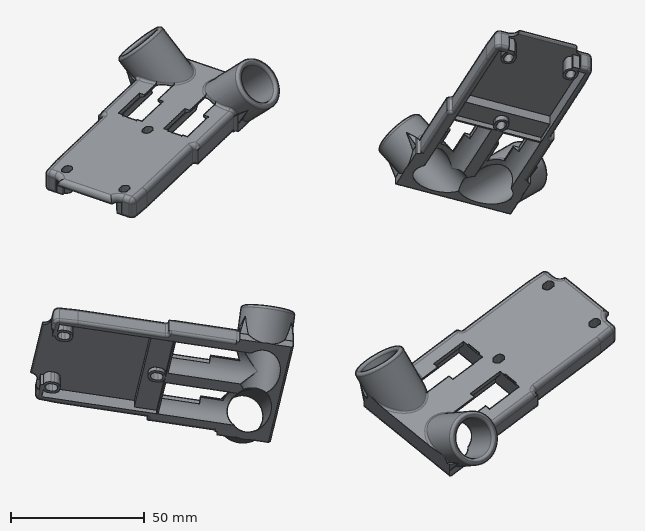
import cadquery as cq
import math

back_y = 46.6
front_y = -46.6
plate_height = 8.8
roof_underside = 6.1
top_round = 2.05
bottom_round = 1.1
back_chamfer = 0.7
lip_underside_round = 0.5

wide_half = 21.6
narrow_half = 19.9
front_corner_half = 19.5
step_y = -0.5
step_corner_radius = 0.9
taper_start_y = -34.6
leg_front_y = -43.65
leg_corner_radius = 2.05
scallop_radius = leg_front_y - front_y
lip_half = 11.75

tube_slant = 45.0
tube_radius = 10.2
bore_radius = 7.65
tube_length = 24.25
rim_round = 1.2
tube_y = back_y - tube_radius
tube_front_y = back_y - 2 * tube_radius
tube_blend = 1.0

back_overrun = 7.5

margin = 0.1

channel_x = 9.9
channel_z = 0.9
channel_start_y = 2.9

slant = math.radians(tube_slant)
tube_foot_x = channel_x - channel_z * math.tan(slant)
tube_axis = cq.Vector(math.sin(slant), 0, math.cos(slant))

gusset_foot_half = 23.1
gusset_foot_height = 3.7
gusset_top_half = 26.5
gusset_height = 10.1
gusset_taper = 1.3
gusset_root_radius = 0.9

slot_wide = 10.3
slot_narrow = 6.0
slot_neck_y = 18.2
notch_length = 0.6
notch_depth = 0.5

side_wall = 2.3
pocket_front_y = -41.3
pocket_back_y = -6.2
recess_back_y = 2.3
recess_height = 2.1
front_opening_half = 11.75
lip_relief_half = 14.4
lip_relief_depth = 0.7

hole_width = 3.4
hole_length = 4.8
post_wall = 0.9
front_hole_x = 12.5
front_hole_y = -38.6
middle_hole_y = -0.9


def box(x_min, x_max, y_min, y_max, z_min, z_max):
    size = (x_max - x_min, y_max - y_min, z_max - z_min)
    return cq.Workplane("XY").box(*size, centered=False).translate((x_min, y_min, z_min))


def both_sides(shape):
    return shape.union(shape.mirror("YZ"))


def plate_body():
    """Plate with a rounded top edge, running past the back by the overrun."""
    diagonal = math.sqrt(0.5)
    scallop_x = lip_half + scallop_radius
    end_y = back_y + back_overrun
    half = (
        cq.Workplane("XY")
        .moveTo(0, end_y)
        .lineTo(wide_half, end_y)
        .lineTo(wide_half, step_y)
        .lineTo(narrow_half + step_corner_radius, step_y)
        .radiusArc((narrow_half, step_y - step_corner_radius), -step_corner_radius)
        .lineTo(narrow_half, taper_start_y)
        .lineTo(front_corner_half, leg_front_y + leg_corner_radius)
        .radiusArc((front_corner_half - leg_corner_radius, leg_front_y), leg_corner_radius)
        .lineTo(scallop_x, leg_front_y)
        .threePointArc(
            (scallop_x - scallop_radius * diagonal, front_y + scallop_radius * diagonal),
            (lip_half, front_y),
        )
        .lineTo(0, front_y)
        .close()
        .extrude(plate_height)
    )
    body = both_sides(half).clean()
    return body.faces(">Z").edges("not >Y").fillet(top_round)


def bottom_rounded(body):
    """Body with the lower edge of its plate rounded, up to where the tube blends begin."""
    plate = plate_body()
    rounded = plate.faces("<Z").edges("not >Y").fillet(bottom_round)
    blend_start_y = tube_front_y - tube_blend
    trim = plate.cut(rounded).intersect(
        box(-wide_half, wide_half, front_y, blend_start_y, 0, plate_height)
    )
    return body.cut(trim)


def tube_cylinder(radius, overrun):
    """Slanted cylinder on the +X side, running `overrun` past the underside plane."""
    start = cq.Vector(tube_foot_x, tube_y, 0) - tube_axis * overrun
    plane = cq.Plane(origin=start.toTuple(), xDir=(0, 1, 0), normal=tube_axis.toTuple())
    return cq.Workplane(plane).circle(radius).extrude(tube_length + overrun)


def tube_solid():
    """Outside of the +X tube, cut off flat at the underside, with a rounded rim."""
    outer = tube_cylinder(tube_radius, tube_radius)
    mouth = cq.selectors.DirectionMinMaxSelector(tube_axis)
    outer = outer.faces(mouth).edges().fillet(rim_round)
    return outer.intersect(box(0, 2 * tube_length, 0, back_y, 0, 2 * tube_length))


def bore():
    """Bore of the +X tube, flared at the mouth so the rim is round on both edges."""
    mouth = cq.Vector(tube_foot_x, tube_y, 0) + tube_axis * tube_length
    across = (tube_axis.z, 0, -tube_axis.x)
    plane = cq.Plane(origin=mouth.toTuple(), xDir=across, normal=(0, -1, 0))
    depth = tube_length + bore_radius
    profile = (
        cq.Workplane(plane)
        .lineTo(bore_radius + rim_round, 0)
        .radiusArc((bore_radius, -rim_round), -rim_round)
        .lineTo(bore_radius, -depth)
        .lineTo(0, -depth)
        .close()
    )
    return profile.revolve(360, (0, 0, 0), (0, 1, 0))


def blended_body():
    """Plate and tubes joined by a blend, with the back trimmed flat."""
    body = plate_body().union(both_sides(tube_solid()))
    joint_zone = cq.selectors.BoxSelector(
        (-tube_length, tube_front_y - margin, margin),
        (tube_length, back_y + margin, plate_height + margin),
        boundingbox=True,
    )
    body = body.edges(joint_zone).fillet(tube_blend)
    return body.intersect(box(-2 * tube_length, 2 * tube_length, front_y, back_y, 0, 2 * tube_length))


def gusset():
    """Fill between the +X side of the plate and the underside of the tube."""
    front = tube_front_y
    inner = wide_half - top_round
    side_profile = (
        cq.Workplane("XZ", origin=(0, back_y, 0))
        .moveTo(inner, 0)
        .lineTo(gusset_foot_half, 0)
        .lineTo(gusset_foot_half, gusset_foot_height)
        .lineTo(gusset_top_half, gusset_height)
        .lineTo(wide_half, plate_height - top_round)
        .lineTo(inner, plate_height - top_round)
        .close()
        .extrude(back_y)
    )
    plan = (
        cq.Workplane("XY")
        .moveTo(inner, front - gusset_root_radius)
        .lineTo(wide_half, front - gusset_root_radius)
        .radiusArc((wide_half + gusset_root_radius, front), gusset_root_radius)
        .lineTo(gusset_foot_half, front)
        .lineTo(gusset_top_half, front + gusset_taper)
        .lineTo(gusset_top_half, back_y - gusset_taper)
        .lineTo(gusset_foot_half, back_y)
        .lineTo(inner, back_y)
        .close()
        .extrude(gusset_height)
    )
    return side_profile.intersect(plan)


def roof_slot():
    """Stepped slot through the roof on the +X side, ending against the tube."""
    def centred(width, y_min, y_max, z_min):
        half = width / 2
        return box(channel_x - half, channel_x + half, y_min, y_max, z_min, 2 * plate_height)

    slot = centred(slot_wide, channel_start_y, slot_neck_y, 0)
    slot = slot.union(centred(slot_narrow, slot_neck_y, tube_y, 0))
    notch_floor = plate_height - notch_depth
    slot = slot.union(centred(slot_narrow, channel_start_y - notch_length, slot_neck_y, notch_floor))
    return slot.cut(tube_cylinder(tube_radius, tube_radius))


def channel():
    """Round channel under the +X slot that meets the tube bore."""
    plane = cq.Workplane("XZ", origin=(channel_x, tube_y, channel_z))
    return plane.circle(bore_radius).extrude(tube_y - channel_start_y)


def underside_pockets():
    """Deep front pocket, shallow recess behind it, front opening and relief under the lip."""
    half = narrow_half - side_wall
    front = box(-half, half, pocket_front_y, pocket_back_y, 0, roof_underside)
    rear = box(-half, half, pocket_back_y, recess_back_y, 0, recess_height)
    opening = box(
        -front_opening_half, front_opening_half, front_y, pocket_front_y, 0, roof_underside
    )
    relief_back_y = leg_front_y + lip_relief_depth
    relief = box(-lip_relief_half, lip_relief_half, front_y, relief_back_y, 0, roof_underside)
    return front.union(rear).union(opening).union(relief)


def screw_slot(x, y, wall, height):
    """Upright slot-shaped prism, wider than the screw hole by `wall` all round."""
    width = hole_width + 2 * wall
    length = hole_length + 2 * wall
    return cq.Workplane("XY").center(x, y).slot2D(length, width, 90).extrude(height)


def edge_finish(body):
    """Round the lower edge of the front lip and chamfer the lower back edge."""
    lip_edge = cq.selectors.BoxSelector(
        (-lip_half, front_y - margin, roof_underside - margin),
        (lip_half, front_y + margin, roof_underside + margin),
    )
    body = body.edges(lip_edge).fillet(lip_underside_round)
    return body.faces(">Y").edges("<Z").chamfer(back_chamfer)


hole_places = [(-front_hole_x, front_hole_y), (front_hole_x, front_hole_y), (0, middle_hole_y)]

body = bottom_rounded(blended_body())
body = body.union(both_sides(gusset()))
body = body.cut(both_sides(bore())).cut(both_sides(channel())).cut(both_sides(roof_slot()))
body = body.cut(underside_pockets())
for x, y in hole_places:
    body = body.union(screw_slot(x, y, post_wall, roof_underside))
for x, y in hole_places:
    body = body.cut(screw_slot(x, y, 0, plate_height))

result = edge_finish(body)